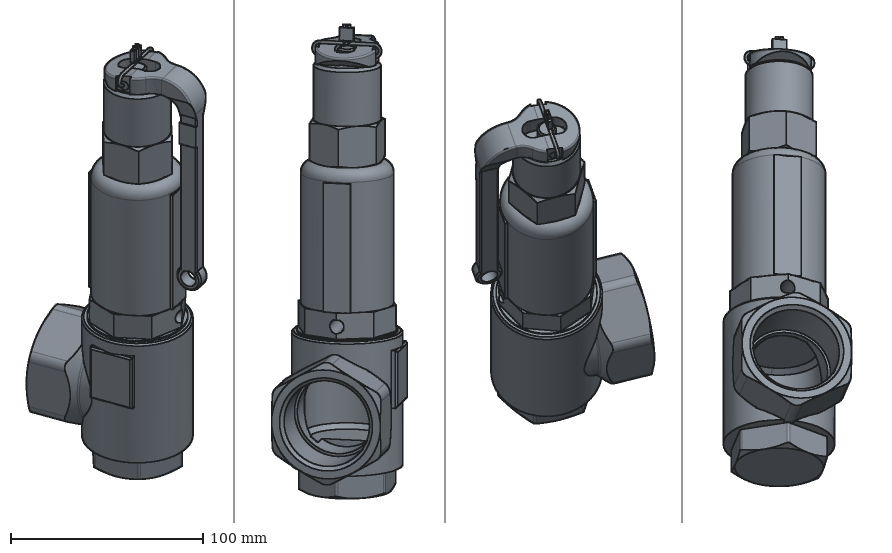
import cadquery as cq
import math


inlet_top_z = 13.4
housing_top_z = 84.7
collar_top_z = 99.3
dome_base_z = 169.0
bonnet_top_z = 175.0
nut_top_z = 197.0
cap_top_z = 227.5
valve_top_z = 247.5

housing_radius = 29.0
housing_rim_chamfer = 1.0
inlet_flats = 46.0
inlet_corner_fillet = 1.5
inlet_chamfer_height = 2.0
outlet_z = 45.3
outlet_face_x = -50.0
outlet_flats = 2 * housing_radius
outlet_corner_fillet = 5.7
outlet_chamfer_length = 2.0
neck_radius = 26.0
neck_start_x = -21.0
neck_root_fillet = 1.5
outlet_bore_radius = 22.8
outlet_bore_end_x = -23.5
outlet_bore_chamfer = 2.0
throat_radius = 21.3
throat_end_x = -6.2
chamber_radius = 22.3
chamber_floor_z = 27.7
chamber_chamfer = 2.7
plate_width = 24.8
plate_bottom_z = 47.0
plate_height = 30.7
plate_front_y = -29.5
plate_chamfer = 1.0

bonnet_radius = 24.3
dome_fillet = bonnet_top_z - dome_base_z
collar_corner_radius = 26.0
flange_radius = 26.2
flange_height = 0.7
wire_hole_diameter = 7.5
pad_x = 24.8
pad_width = 14.4
pad_top_z = 168.1

cap_radius = 17.5
cap_chamfer = 1.7
nut_flats = 35.7
nut_chamfer_height = 1.2
spindle_radius = 5.0
spindle_top_z = 235.2
spindle_chamfer = 1.0

lever_thickness = 10.0
lever_top_z = cap_top_z + lever_thickness
lever_tip_x = -17.3
lever_tip_low_z = 231.8
lever_tip_high_z = 233.3
lever_heel_x = -10.0
lever_crease_x = 3.0
hub_radius = 16.5
hub_x = lever_tip_x + hub_radius
hub_recess_width = 8.2
hub_recess_y = 14.4
neck_half_width = 8.5
neck_fillet = 10.6
hub_edge_fillet = 1.0
arm_outer_x = 37.1
arm_inner_x = arm_outer_x - lever_thickness
arm_mid_x = arm_outer_x - lever_thickness / 2
arm_half_width = 4.0
arm_edge_chamfer = 0.7
bend_outer_radius = 18.0
bend_inner_radius = bend_outer_radius - lever_thickness
bend_x = arm_outer_x - bend_outer_radius
bend_z = lever_top_z - bend_outer_radius
taper_top_z = 227.0
taper_bottom_z = 216.0
badge_bottom_z = 198.5
badge_height = 12.6
badge_relief = 0.7
eye_z = 118.4
eye_radius = 7.2
eye_hole_radius = 4.5
eye_chamfer = 1.0
slot_left_x = -10.6
slot_right_x = 13.0
slot_width = 10.6

pin_radius = 2.5
pin_z = 231.0
wire_radius = 0.87
wire_x = -1.0
wire_span_z = 237.7
wire_bend_radius = (wire_span_z - pin_z) / 2
wire_tail_y = 1.2
seal_thickness = 2.2
seal_width = 7.5
seal_bottom_z = 239.2
seal_height = 7.0


def z_cylinder(radius, bottom, top):
    return cq.Workplane("XY").workplane(offset=bottom).circle(radius).extrude(top - bottom)


def x_cylinder(radius, start, end, z):
    return cq.Workplane("YZ", origin=(start, 0, z)).circle(radius).extrude(end - start)


def y_cylinder(radius, half_length, x, z):
    return cq.Workplane("XZ", origin=(x, 0, z)).circle(radius).extrude(half_length, both=True)


def corner_radius(flats):
    return flats / 2 / math.cos(math.pi / 6)


def hexagon(flats, height):
    """Hexagonal prism on the XY plane with two corners on the X axis."""
    return cq.Workplane("XY").polygon(6, 2 * corner_radius(flats)).extrude(height)


def turned(points):
    """Solid of revolution about the Z axis from an (r, z) outline."""
    return cq.Workplane("XZ").polyline(points).close().revolve(360, (0, 0), (0, 1))


def inlet_hexagon():
    prism = hexagon(inlet_flats, inlet_top_z).edges("|Z").fillet(inlet_corner_fillet)
    corner = corner_radius(inlet_flats)
    chamfered_blank = turned([
        (0, 0), (inlet_flats / 2, 0), (corner, inlet_chamfer_height), (corner, inlet_top_z), (0, inlet_top_z),
    ])
    return prism.intersect(chamfered_blank)


def outlet_branch():
    """Outlet hexagon and its neck, made upright along Z and then turned to -X."""
    length = -outlet_face_x
    neck_start = -neck_start_x
    corner = corner_radius(outlet_flats)
    back_cone_end = neck_start + corner - neck_radius
    prism = hexagon(outlet_flats, length).edges("|Z").fillet(outlet_corner_fillet)
    turned_blank = turned([
        (0, 0), (neck_radius, 0), (neck_radius, neck_start), (corner, back_cone_end),
        (corner, length - outlet_chamfer_length), (outlet_flats / 2, length), (0, length),
    ])
    root = cq.selectors.BoxSelector(
        (-corner, -corner, neck_start - 0.2), (corner, corner, neck_start + 0.2)
    )
    turned_blank = turned_blank.edges("%CIRCLE").edges(root).fillet(neck_root_fillet)
    branch = prism.intersect(turned_blank)
    return branch.rotate((0, 0, 0), (0, 1, 0), -90).translate((0, 0, outlet_z))


def outlet_passage():
    bore = x_cylinder(outlet_bore_radius, outlet_face_x, outlet_bore_end_x, outlet_z)
    mouth = cq.Workplane(cq.Solid.makeCone(
        outlet_bore_radius + outlet_bore_chamfer, outlet_bore_radius, outlet_bore_chamfer,
        pnt=cq.Vector(outlet_face_x, 0, outlet_z), dir=cq.Vector(1, 0, 0),
    ))
    throat = x_cylinder(throat_radius, outlet_bore_end_x, throat_end_x, outlet_z)
    chamber_top = outlet_z + throat_radius
    chamber = z_cylinder(chamber_radius, chamber_floor_z, chamber_top).edges().chamfer(chamber_chamfer)
    return bore.union(mouth).union(throat).union(chamber)


def name_plate():
    plate = cq.Workplane("XY").box(plate_width, -plate_front_y, plate_height, centered=(True, False, False))
    plate = plate.translate((0, plate_front_y, plate_bottom_z))
    return plate.faces("<Y").chamfer(plate_chamfer)


def make_housing():
    body = z_cylinder(housing_radius, inlet_top_z, housing_top_z)
    body = body.faces(">Z").chamfer(housing_rim_chamfer)
    body = body.union(inlet_hexagon()).union(outlet_branch()).union(name_plate())
    return body.cut(outlet_passage())


def make_bonnet():
    collar = cq.Workplane("XY").workplane(offset=housing_top_z).polygon(8, 2 * collar_corner_radius)
    collar = collar.extrude(collar_top_z - housing_top_z)
    barrel = z_cylinder(bonnet_radius, collar_top_z, bonnet_top_z).faces(">Z").edges().fillet(dome_fillet)
    pads = cq.Workplane("XY").workplane(offset=collar_top_z).rect(2 * pad_x, pad_width)
    pads = pads.extrude(pad_top_z - collar_top_z)
    flange = z_cylinder(flange_radius, housing_top_z, housing_top_z + flange_height)
    hole_z = (housing_top_z + collar_top_z) / 2
    wire_hole = x_cylinder(wire_hole_diameter / 2, -collar_corner_radius, collar_corner_radius, hole_z)
    return collar.union(flange).union(barrel).union(pads).cut(wire_hole)


def spindle_clearance():
    return z_cylinder(spindle_radius, bonnet_top_z, valve_top_z)


def make_nut():
    height = nut_top_z - bonnet_top_z
    corner = corner_radius(nut_flats)
    chamfered_blank = turned([
        (0, 0), (nut_flats / 2, 0), (corner, nut_chamfer_height),
        (corner, height - nut_chamfer_height), (nut_flats / 2, height), (0, height),
    ])
    nut = hexagon(nut_flats, height).intersect(chamfered_blank)
    return nut.translate((0, 0, bonnet_top_z)).cut(spindle_clearance())


def make_cap():
    cap = z_cylinder(cap_radius, nut_top_z, cap_top_z).faces(">Z").chamfer(cap_chamfer)
    return cap.cut(spindle_clearance())


def make_spindle():
    spindle = z_cylinder(spindle_radius, bonnet_top_z, spindle_top_z).faces(">Z").chamfer(spindle_chamfer)
    return spindle.cut(make_pin())


def lever_side_profile():
    """Tip, hub, bend and arm in the XZ plane, extruded across the full hub width."""
    diagonal = math.sqrt(0.5)
    profile = (
        cq.Workplane("XZ")
        .moveTo(lever_tip_x, lever_tip_low_z)
        .lineTo(lever_tip_x, lever_tip_high_z)
        .lineTo(lever_crease_x, lever_top_z)
        .lineTo(bend_x, lever_top_z)
        .threePointArc(
            (bend_x + diagonal * bend_outer_radius, bend_z + diagonal * bend_outer_radius),
            (arm_outer_x, bend_z),
        )
        .lineTo(arm_outer_x, eye_z)
        .lineTo(arm_inner_x, eye_z)
        .lineTo(arm_inner_x, bend_z)
        .threePointArc(
            (bend_x + diagonal * bend_inner_radius, bend_z + diagonal * bend_inner_radius),
            (bend_x, cap_top_z),
        )
        .lineTo(lever_heel_x, cap_top_z)
        .close()
    )
    return profile.extrude(hub_radius, both=True)


def lever_plan():
    """Round hub running into the straight neck, over the full height of the lever."""
    height = lever_top_z - eye_z
    hub = cq.Workplane("XY").circle(hub_radius).extrude(height).translate((hub_x, 0, 0))
    neck = cq.Workplane("XY").rect(arm_outer_x, 2 * neck_half_width).extrude(height)
    plan = hub.union(neck.translate((arm_outer_x / 2, 0, 0)))
    corner_x = hub_x + math.sqrt(hub_radius**2 - neck_half_width**2)
    junction = cq.selectors.BoxSelector(
        (corner_x - 0.2, -hub_radius, -height), (corner_x + 0.2, hub_radius, 2 * height)
    )
    return plan.edges("|Z").edges(junction).fillet(neck_fillet).translate((0, 0, eye_z))


def lever_width_outline():
    """Full width at hub level, tapering to the narrow arm below the bend."""
    right_side = [
        (hub_radius, lever_top_z), (hub_radius, taper_top_z), (neck_half_width, taper_top_z),
        (arm_half_width, taper_bottom_z), (arm_half_width, eye_z),
    ]
    left_side = [(-y, z) for y, z in reversed(right_side)]
    outline = cq.Workplane("YZ").polyline(right_side + left_side).close()
    return outline.extrude(2 * arm_outer_x, both=True)


def hub_recesses():
    """Flat-floored recesses around both ends of the cross pin."""
    depth = hub_radius - hub_recess_y
    recess = cq.Workplane("XY").box(hub_recess_width, depth, 2 * lever_thickness)
    centre_y = hub_recess_y + depth / 2
    front = recess.translate((0, -centre_y, pin_z))
    back = recess.translate((0, centre_y, pin_z))
    return front.union(back)


def hub_slot():
    slot = cq.Workplane("XY").slot2D(slot_right_x - slot_left_x, slot_width).extrude(lever_thickness)
    return slot.translate(((slot_left_x + slot_right_x) / 2, 0, cap_top_z))


def arm_badge():
    badge = cq.Workplane("XY").box(
        lever_thickness, arm_half_width + badge_relief, badge_height, centered=(True, False, False)
    )
    return badge.translate((arm_mid_x, -arm_half_width - badge_relief, badge_bottom_z))


def make_lever():
    lever = lever_side_profile().intersect(lever_plan())
    top_edges = cq.selectors.BoxSelector(
        (-2 * hub_radius, -hub_radius, lever_tip_high_z),
        (bend_x, hub_radius, lever_top_z + 0.2),
    )
    lever = lever.edges("not |Y").edges("not |Z").edges(top_edges).fillet(hub_edge_fillet)
    lever = lever.intersect(lever_width_outline())
    arm_edges = cq.selectors.BoxSelector(
        (arm_inner_x - 2.5, -neck_half_width, eye_z - 2.5), (arm_outer_x + 2.5, neck_half_width, taper_bottom_z + 0.2)
    )
    lever = lever.edges("|Z").edges(arm_edges).chamfer(arm_edge_chamfer)
    eye = y_cylinder(eye_radius, arm_half_width, arm_mid_x, eye_z).edges().chamfer(eye_chamfer)
    lever = lever.union(eye).union(arm_badge())
    lever = lever.cut(y_cylinder(eye_hole_radius, hub_radius, arm_mid_x, eye_z))
    return lever.cut(hub_slot()).cut(hub_recesses()).cut(make_pin())


def make_pin():
    return y_cylinder(pin_radius, hub_recess_y, 0, pin_z)


def wire_tails():
    tails = cq.Workplane("XY", origin=(wire_x, 0, wire_span_z))
    tails = tails.pushPoints([(0, -wire_tail_y), (0, wire_tail_y)])
    return tails.circle(wire_radius).extrude(valve_top_z - wire_span_z)


def make_wire():
    """Wire from one pin end over the lever to the other, with both tails standing up in the middle."""
    middle_z = pin_z + wire_bend_radius
    outer_y = hub_recess_y + wire_bend_radius
    path = (
        cq.Workplane("YZ", origin=(wire_x, 0, 0))
        .moveTo(-hub_recess_y, pin_z)
        .threePointArc((-outer_y, middle_z), (-hub_recess_y, wire_span_z))
        .lineTo(hub_recess_y, wire_span_z)
        .threePointArc((outer_y, middle_z), (hub_recess_y, pin_z))
    )
    section = cq.Workplane("XZ", origin=(wire_x, -hub_recess_y, pin_z)).circle(wire_radius)
    return section.sweep(path).union(wire_tails())


def make_seal():
    seal = cq.Workplane("XY").box(seal_thickness, seal_width, seal_height, centered=(True, True, False))
    return seal.translate((wire_x, 0, seal_bottom_z)).cut(wire_tails())


housing = make_housing()
bonnet = make_bonnet()
nut = make_nut()
cap = make_cap()
spindle = make_spindle()
lever = make_lever()
pin = make_pin()
wire = make_wire()
seal = make_seal()

result = cq.Compound.makeCompound([
    housing.val(), bonnet.val(), nut.val(), cap.val(), spindle.val(),
    lever.val(), pin.val(), wire.val(), seal.val(),
])